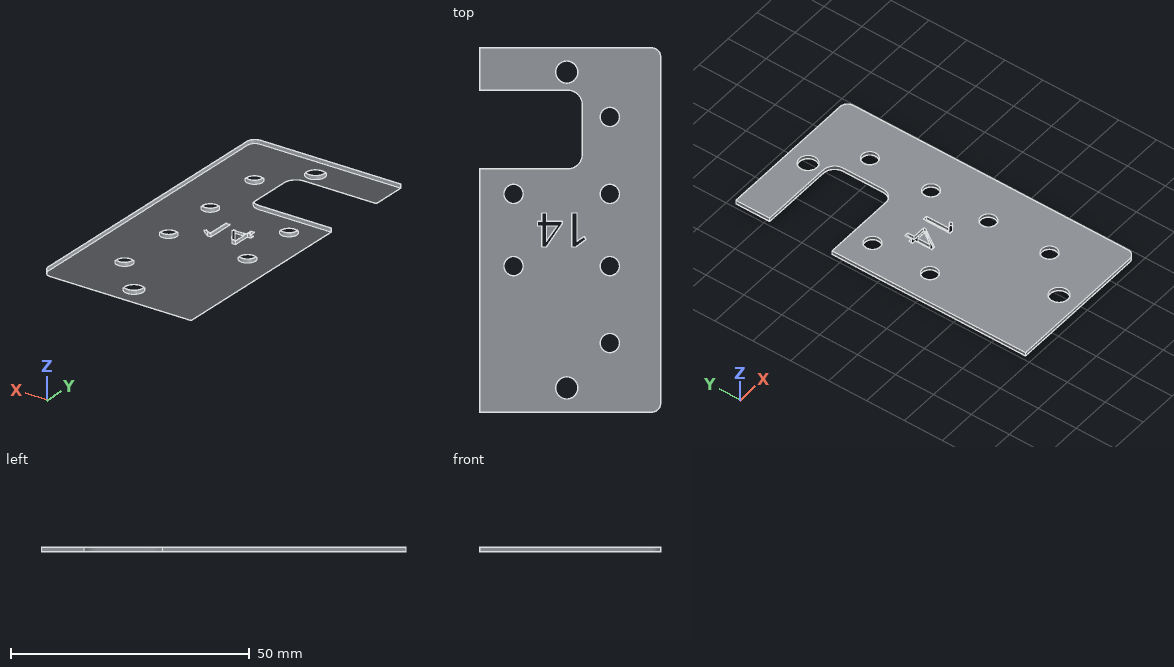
import cadquery as cq

width = 38.0
length = 76.4
thickness = 1.0
corner_radius = 2.0

notch_depth = 21.5
notch_bottom = 12.85
notch_top = 29.3
notch_radius = 3.0

large_diameter = 4.6
large_x = 18.3
large_y = 33.1
small_diameter = 4.0
left_column_x = 7.1
right_column_x = 27.3
inner_row_y = 7.6
outer_row_y = 23.7

digit_half_height = 3.5
one_left = 19.3
one_right = 20.4
one_foot_right = 20.2
flag_root_y = -2.4
flag_upper_tip_x = 21.9
flag_upper_tip_y = -1.4
flag_lower_tip_x = 22.25
flag_lower_tip_y = -2.0
four_stem_left = 13.1
four_stem_right = 14.0
four_bar_left = 12.15
four_bar_right = 17.3
four_bar_bottom = 0.85
four_bar_top = 1.8
four_tip_y = 1.3

island_right = 16.3
island_bottom = -2.4


def prism(points):
    """Full-thickness prism on a closed polygon."""
    return cq.Workplane("XY").polyline(points).close().extrude(thickness)


def holes(diameter, points):
    """Through holes at the given centres."""
    return cq.Workplane("XY").pushPoints(points).circle(diameter / 2).extrude(thickness)


def make_island():
    return prism([
        (four_stem_right, four_bar_bottom),
        (island_right, four_bar_bottom),
        (four_stem_right, island_bottom),
    ])


def make_notch():
    notch = cq.Workplane("XY").box(
        notch_depth, notch_top - notch_bottom, thickness, centered=False
    )
    return notch.edges("|Z and >X").fillet(notch_radius).translate((0, notch_bottom, 0))


def make_digit_one():
    return prism([
        (one_left, digit_half_height),
        (one_right, digit_half_height),
        (one_right, flag_root_y),
        (flag_upper_tip_x, flag_upper_tip_y),
        (flag_lower_tip_x, flag_lower_tip_y),
        (one_foot_right, -digit_half_height),
        (one_left, -digit_half_height),
    ])


def make_digit_four():
    """Outer outline of the 4, including the area that the island fills."""
    return prism([
        (four_stem_left, digit_half_height),
        (four_stem_right, digit_half_height),
        (four_stem_right, four_bar_top),
        (four_bar_right, four_bar_top),
        (four_bar_right, four_tip_y),
        (four_stem_right, -digit_half_height),
        (four_stem_left, -digit_half_height),
        (four_stem_left, four_bar_bottom),
        (four_bar_left, four_bar_bottom),
        (four_bar_left, four_bar_top),
        (four_stem_left, four_bar_top),
    ])


def make_plate():
    blank = cq.Workplane("XY").box(width, length, thickness, centered=(False, True, False))
    plate = blank.edges("|Z and >X").fillet(corner_radius).cut(make_notch())

    large_centres = [(large_x, side * large_y) for side in (-1, 1)]
    small_centres = []
    for side in (-1, 1):
        small_centres.append((left_column_x, side * inner_row_y))
        small_centres.append((right_column_x, side * inner_row_y))
        small_centres.append((right_column_x, side * outer_row_y))
    plate = plate.cut(holes(large_diameter, large_centres))
    plate = plate.cut(holes(small_diameter, small_centres))

    return plate.cut(make_digit_one()).cut(make_digit_four())


plate = make_plate()
island = make_island()

result = cq.Compound.makeCompound([plate.val(), island.val()])